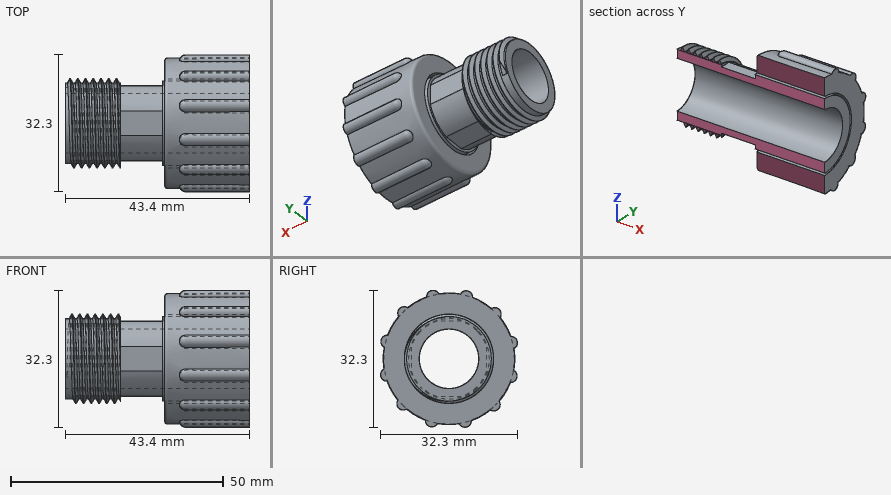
import cadquery as cq
import math

TOTAL_LENGTH = 43.4

BORE_RADIUS = 7.0
THREAD_ROOT_RADIUS = 9.5
THREADED_LENGTH = 13.0
NECK_CORNER_RADIUS = 9.35
NECK_ACROSS_FLATS = 17.75
COLLAR_START = 22.9
COLLAR_RADIUS = 10.0

THREAD_CREST_RADIUS = 10.55
THREAD_PITCH = 1.82
THREAD_START = 0.95
THREAD_CREST_WIDTH = 0.15
THREAD_FLANK_SLOPE = math.tan(math.radians(30.0))
THREAD_FOOT_DEPTH = 0.1
THREAD_SWEEP_LENGTH = THREADED_LENGTH - THREAD_START + THREAD_PITCH
RAMP_FOOT_ANGLE = -27.0
RAMP_TOP_ANGLE = -8.0

NUT_START = 23.4
NUT_FRONT_RADIUS = 15.4
NUT_REAR_RADIUS = 15.55
NUT_BORE_RADIUS = 10.5
NUT_FILLET = 0.75

RIB_COUNT = 12
RIB_RADIUS = 1.5
RIB_CENTRE_RADIUS = 15.1
RIB_DOME_CENTRE = 28.35
RIB_FIRST_ANGLE = 14.4


def rod(radius, start, end):
    """Solid cylinder along X from start to end."""
    return cq.Workplane("YZ", origin=(start, 0, 0)).circle(radius).extrude(end - start)


def polar(radius, angle):
    """Point in the YZ plane at an angle in degrees from +Y towards +Z."""
    return radius * math.cos(math.radians(angle)), radius * math.sin(math.radians(angle))


def make_spigot():
    """Tube with a threaded end, a neck with four flats and a collar that sits inside the nut."""
    threaded_end = rod(THREAD_ROOT_RADIUS, 0, THREADED_LENGTH)
    flats = (
        cq.Workplane("YZ", origin=(THREADED_LENGTH, 0, 0))
        .rect(NECK_ACROSS_FLATS, NECK_ACROSS_FLATS)
        .extrude(COLLAR_START - THREADED_LENGTH)
    )
    neck = rod(NECK_CORNER_RADIUS, THREADED_LENGTH, COLLAR_START).intersect(flats)
    collar = rod(COLLAR_RADIUS, COLLAR_START, TOTAL_LENGTH)
    bore = rod(BORE_RADIUS, 0, TOTAL_LENGTH)
    return threaded_end.union(neck).union(collar).cut(bore)


def sweep_ridge():
    """Untrimmed helical ridge about X, starting at the foot of the ramp."""
    foot_radius = THREAD_ROOT_RADIUS - THREAD_FOOT_DEPTH
    half_crest = THREAD_CREST_WIDTH / 2
    half_foot = half_crest + (THREAD_CREST_RADIUS - foot_radius) * THREAD_FLANK_SLOPE
    helix = cq.Wire.makeHelix(THREAD_PITCH, THREAD_SWEEP_LENGTH, THREAD_ROOT_RADIUS)
    ridge = (
        cq.Workplane("XZ")
        .moveTo(foot_radius, -half_foot)
        .lineTo(THREAD_CREST_RADIUS, -half_crest)
        .lineTo(THREAD_CREST_RADIUS, half_crest)
        .lineTo(foot_radius, half_foot)
        .close()
        .sweep(cq.Workplane("XY").add(helix), isFrenet=True)
    )
    ridge = ridge.rotate((0, 0, 0), (0, 0, 1), 90).rotate((0, 0, 0), (0, 1, 0), 90)
    return ridge.rotate((0, 0, 0), (1, 0, 0), RAMP_FOOT_ANGLE).translate((THREAD_START, 0, 0))


def make_thread():
    """Helical ridge seated on the threaded end, with a ramp at its start."""
    clear_radius = 2 * THREAD_CREST_RADIUS
    sweep_end = THREADED_LENGTH + 2 * THREAD_PITCH
    core = rod(THREAD_ROOT_RADIUS, 0, sweep_end)
    overrun = rod(clear_radius, THREADED_LENGTH, sweep_end)
    above_ramp = (
        cq.Workplane("YZ")
        .moveTo(*polar(THREAD_ROOT_RADIUS, RAMP_FOOT_ANGLE))
        .lineTo(*polar(THREAD_CREST_RADIUS, RAMP_TOP_ANGLE))
        .lineTo(*polar(clear_radius, RAMP_FOOT_ANGLE))
        .close()
        .extrude(THREAD_START + THREAD_PITCH / 2)
    )
    return sweep_ridge().cut(core).cut(overrun).cut(above_ramp)


def make_rib():
    """Round-nosed grip rib on the +Y side of the nut."""
    bar = rod(RIB_RADIUS, RIB_DOME_CENTRE, TOTAL_LENGTH)
    dome = cq.Workplane("XY").sphere(RIB_RADIUS).translate((RIB_DOME_CENTRE, 0, 0))
    return bar.union(dome).translate((0, RIB_CENTRE_RADIUS, 0))


def make_nut():
    """Slightly tapered nut with a rounded front edge, grip ribs and a plain bore."""
    nut = (
        cq.Workplane("XY")
        .moveTo(NUT_START, 0)
        .lineTo(NUT_START, NUT_FRONT_RADIUS)
        .lineTo(TOTAL_LENGTH, NUT_REAR_RADIUS)
        .lineTo(TOTAL_LENGTH, 0)
        .close()
        .revolve(360, (0, 0, 0), (1, 0, 0))
        .faces("<X")
        .edges()
        .fillet(NUT_FILLET)
    )
    rib = make_rib()
    for index in range(RIB_COUNT):
        angle = RIB_FIRST_ANGLE + index * 360 / RIB_COUNT
        nut = nut.union(rib.rotate((0, 0, 0), (1, 0, 0), angle))
    return nut.cut(rod(NUT_BORE_RADIUS, NUT_START, TOTAL_LENGTH))


spigot = make_spigot()
thread = make_thread()
nut = make_nut()

result = cq.Compound.makeCompound([spigot.solids().val(), thread.solids().val(), nut.solids().val()])